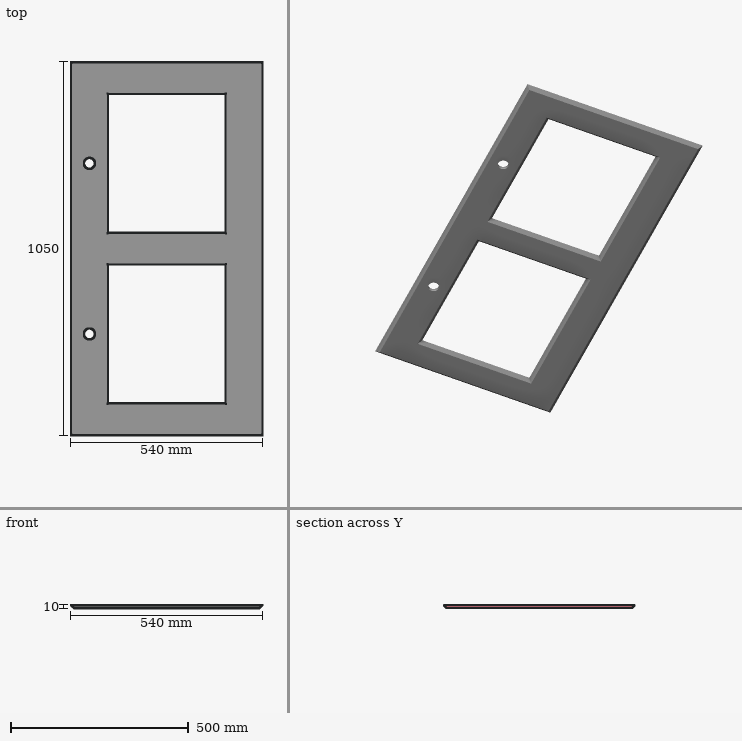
import cadquery as cq

width = 540.0
length = 1050.0
thickness = 10.0
bevel = thickness

side_rail = 105.0
cross_rail = 90.0
window_width = width - 2 * side_rail
window_length = (length - 3 * cross_rail) / 2
window_pitch = window_length + cross_rail

hole_diameter = 30.0
hole_x = -width / 2 + side_rail / 2


def bevelled_block(top_width, top_length, center_y, growth):
    """Block from Z=0 to the top face; each side moves out by growth at the bottom."""
    return (
        cq.Workplane("XY")
        .center(0, center_y)
        .rect(top_width + 2 * growth, top_length + 2 * growth)
        .workplane(offset=thickness)
        .rect(top_width, top_length)
        .loft(ruled=True)
    )


frame = bevelled_block(width, length, 0, -bevel)

for center_y in (-window_pitch / 2, window_pitch / 2):
    frame = frame.cut(bevelled_block(window_width, window_length, center_y, bevel))

    hole = cq.Workplane("XY").center(hole_x, center_y).circle(hole_diameter / 2).extrude(thickness)
    frame = frame.cut(hole)

result = frame